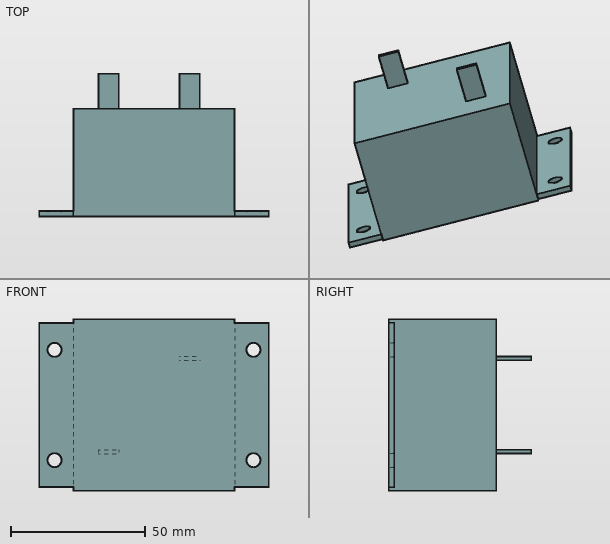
import cadquery as cq

overall_depth = 53.2
body_width = 59.9
body_depth = 40.1
body_height = 63.9

flange_width = 85.5
flange_height = 61.0
flange_thickness = 2.05
hole_diameter = 5.1
hole_spacing_x = 73.9
hole_spacing_z = 41.0

blade_width = 7.6
blade_thickness = 1.5
blade_length = overall_depth - body_depth
left_blade_x = -16.8
right_blade_x = 13.25
blade_z = 17.35


def block(width, depth, height, x=0, y=0, z=0):
    """Box centred on x and z, reaching from y toward +Y."""
    return cq.Workplane("XY").box(width, depth, height, centered=(True, False, True)).translate((x, y, z))


def mounting_flange():
    holes = (
        cq.Workplane("XZ")
        .rarray(hole_spacing_x, hole_spacing_z, 2, 2)
        .circle(hole_diameter / 2)
        .extrude(-flange_thickness)
    )
    return block(flange_width, flange_thickness, flange_height).cut(holes)


def terminal_blade(x, z):
    return block(blade_width, blade_length, blade_thickness, x, body_depth, z)


result = block(body_width, body_depth, body_height).union(mounting_flange())
for x, z in [(left_blade_x, -blade_z), (right_blade_x, blade_z)]:
    result = result.union(terminal_blade(x, z))